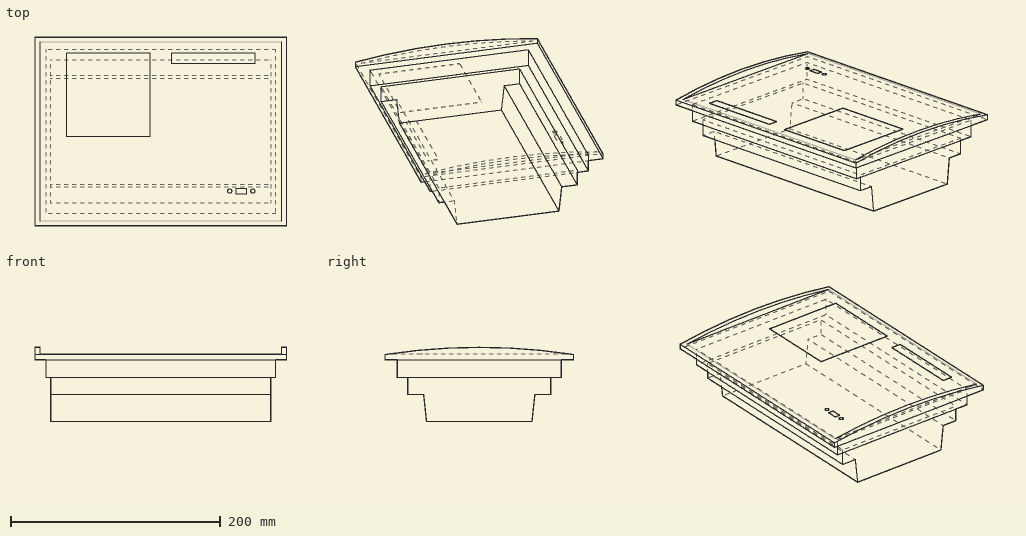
import cadquery as cq

plate_length = 240.0
plate_width = 180.0
total_height = 71.0
crown_rise = 7.0
plate_edge_thickness = 5.0

upper_length = 219.0
upper_width = 156.5
upper_height = 17.0
lower_length = 210.0
lower_width = 136.8
lower_height = 16.0
base_top_width = 106.3
base_bottom_width = 100.8

crown_edge_z = total_height - crown_rise
plate_bottom_z = crown_edge_z - plate_edge_thickness
upper_bottom_z = plate_bottom_z - upper_height
lower_bottom_z = upper_bottom_z - lower_height

end_rim = 5.0
side_rim = 4.5
panel_length = plate_length - 2 * end_rim
panel_width = plate_width - 2 * side_rim

recess_depth = 0.2
screen_size = 80.0
recess_top_y = 75.0
recess_inner_x = 10.0
strip_width = 10.0
port_x = 76.8
port_y = -57.0
port_length = 10.3
port_width = 5.3
screw_offset = 11.0
screw_diameter = 4.0


def crown_height_at(y):
    """Height of the circular crown above the base at a given Y."""
    half_width = plate_width / 2
    radius = (half_width**2 + crown_rise**2) / (2 * crown_rise)
    return total_height - radius + (radius**2 - y**2) ** 0.5


def centered_box(length, width, bottom_z, top_z, x=0, y=0):
    box = cq.Workplane("XY").box(length, width, top_z - bottom_z, centered=(True, True, False))
    return box.translate((x, y, bottom_z))


def make_plate():
    half_width = plate_width / 2
    return (
        cq.Workplane("YZ")
        .moveTo(-half_width, plate_bottom_z)
        .lineTo(half_width, plate_bottom_z)
        .lineTo(half_width, crown_edge_z)
        .threePointArc((0, total_height), (-half_width, crown_edge_z))
        .close()
        .extrude(plate_length / 2, both=True)
    )


def make_base():
    """Tapered base, narrowing toward its underside."""
    profile = [
        (-base_bottom_width / 2, 0),
        (base_bottom_width / 2, 0),
        (base_top_width / 2, lower_bottom_z),
        (-base_top_width / 2, lower_bottom_z),
    ]
    return cq.Workplane("YZ").polyline(profile).close().extrude(lower_length / 2, both=True)


panel_z = crown_height_at(panel_width / 2)
recess_z = panel_z - recess_depth


def panel_recess(length, width, x, y):
    return centered_box(length, width, recess_z, panel_z, x, y)


def screw_recess(x):
    return (
        cq.Workplane("XY", origin=(x, port_y, recess_z))
        .circle(screw_diameter / 2)
        .extrude(recess_depth)
    )


result = (
    make_plate()
    .union(centered_box(upper_length, upper_width, upper_bottom_z, plate_bottom_z))
    .union(centered_box(lower_length, lower_width, lower_bottom_z, upper_bottom_z))
    .union(make_base())
    .cut(centered_box(panel_length, panel_width, panel_z, total_height))
)

recess_center_x = recess_inner_x + screen_size / 2
screen_y = recess_top_y - screen_size / 2
strip_y = recess_top_y - strip_width / 2
result = result.cut(panel_recess(screen_size, screen_size, -recess_center_x, screen_y))
result = result.cut(panel_recess(screen_size, strip_width, recess_center_x, strip_y))

result = result.cut(panel_recess(port_length, port_width, port_x, port_y))
for side in (-1, 1):
    result = result.cut(screw_recess(port_x + side * screw_offset))